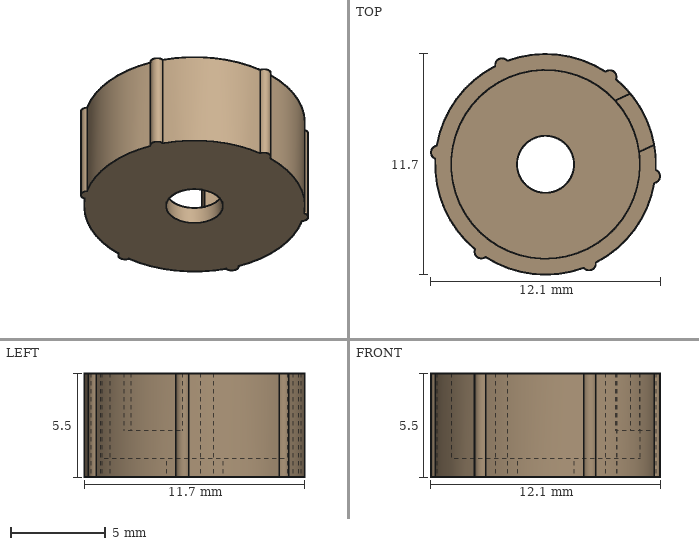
import cadquery as cq

outer_radius = 5.85
inner_radius = 5.0
height = 5.5
floor_thickness = 1.0
floor_hole_radius = 1.5

rib_count = 6
rib_radius = 0.36
rib_circle_radius = 5.74
first_rib_angle = -6.3

notch_width = 3.0
notch_depth = 3.0
notch_angle = 25.0


def make_cup():
    body = cq.Workplane("XY").circle(outer_radius).extrude(height)
    ribs = (
        cq.Workplane("XY")
        .polarArray(rib_circle_radius, first_rib_angle, 360, rib_count)
        .circle(rib_radius)
        .extrude(height)
    )
    cavity = (
        cq.Workplane("XY")
        .workplane(offset=floor_thickness)
        .circle(inner_radius)
        .extrude(height - floor_thickness)
    )
    floor_hole = cq.Workplane("XY").circle(floor_hole_radius).extrude(floor_thickness)
    return body.union(ribs).cut(cavity).cut(floor_hole)


def make_notch():
    notch_length = outer_radius + rib_radius
    return (
        cq.Workplane("XY")
        .box(notch_length, notch_width, notch_depth, centered=(False, True, False))
        .translate((0, 0, height - notch_depth))
        .rotate((0, 0, 0), (0, 0, 1), notch_angle)
    )


result = make_cup().cut(make_notch())